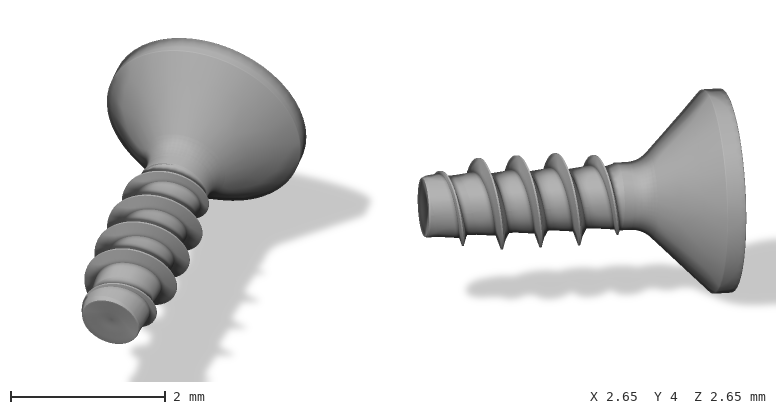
import cadquery as cq
import math

LENGTH = 4.0

HEAD_RADIUS = 2.65 / 2
RIM_HEIGHT = 0.25
RIM_FILLET = 0.02
NECK_RADIUS = 0.44
NECK_FILLET = 0.4
NECK_END = 1.43
CORE_RADIUS = 0.393
CORE_START = 1.61
HEAD_CONE_ANGLE = math.radians(45)

TIP_TAPER_START = 3.82
TIP_TAPER_RADIUS = 0.46
TIP_RADIUS = 0.384

DIMPLE_RADIUS = 0.37
DIMPLE_DEPTH = 0.05

PITCH = 0.51
THREAD_RADIUS = 0.605
CLEAR_RADIUS = 2 * THREAD_RADIUS
FIRST_CREST_DEPTH = 1.573
BURIED_RADIUS = 0.1
FLANK_ROOT_RADIUS = 0.34
RIDGE_ROOT_RADIUS = 0.38
POINTS_PER_QUARTER = 4
QUARTERS_PER_TURN = 4

CREST_HALF_WIDTH = 0.011
LEAD_FLANK_OFFSET = 0.072
RIDGE_RADIUS = 0.42
KINK_OFFSET = -0.052
KINK_RADIUS = 0.485
FOOT_OFFSET = -0.108

RIDGE_END_OFFSET = 0.32

THREAD_START = -3
FULL_HEIGHT_START = 3
FULL_HEIGHT_END = 13
THREAD_END = 20
RUN_IN_PER_QUARTER = 0.028
RUN_OUT_PER_QUARTER = 0.035


def make_body():
    """Revolve the head, filleted neck and core about the Y axis."""
    cone_corner_depth = RIM_HEIGHT + (HEAD_RADIUS - NECK_RADIUS) / math.tan(HEAD_CONE_ANGLE)
    fillet_end = cone_corner_depth + NECK_FILLET * math.tan(HEAD_CONE_ANGLE / 2)
    fillet_centre_radius = NECK_RADIUS + NECK_FILLET

    def fillet_point(angle):
        radius = fillet_centre_radius - NECK_FILLET * math.cos(angle)
        depth = fillet_end - NECK_FILLET * math.sin(angle)
        return radius, -depth

    body = (
        cq.Workplane("XY")
        .moveTo(0, 0)
        .lineTo(HEAD_RADIUS, 0)
        .lineTo(HEAD_RADIUS, -RIM_HEIGHT)
        .lineTo(*fillet_point(HEAD_CONE_ANGLE))
        .threePointArc(fillet_point(HEAD_CONE_ANGLE / 2), fillet_point(0))
        .lineTo(NECK_RADIUS, -NECK_END)
        .lineTo(CORE_RADIUS, -CORE_START)
        .lineTo(CORE_RADIUS, -LENGTH)
        .lineTo(0, -LENGTH)
        .close()
        .revolve(360, (0, 0, 0), (0, 1, 0))
    )
    rim_edges = body.edges("%CIRCLE").edges(cq.selectors.RadiusNthSelector(-1))
    return rim_edges.fillet(RIM_FILLET)


def fin_drop(quarters):
    """Radial distance by which the fin is sunk at the given angle."""
    run_in = RUN_IN_PER_QUARTER * (FULL_HEIGHT_START - quarters)
    run_out = RUN_OUT_PER_QUARTER * (quarters - FULL_HEIGHT_END)
    return max(run_in, run_out, 0)


def no_drop(quarters):
    """Constant height along the whole helix."""
    return 0


def helical_body(section, start, end, drop, first_depth):
    """Carry a section of (axial offset, radius) corners round the helix as a solid.

    start and end are in quarter turns; drop gives the inward shift of the raised corners.
    The section runs level at first_depth until the helix has passed that depth.
    """
    steps = (end - start) * POINTS_PER_QUARTER
    stations = [start + (end - start) * step / steps for step in range(steps + 1)]

    def corner_point(corner, quarters):
        offset, radius = corner
        angle = quarters * math.pi / 2
        if radius > BURIED_RADIUS:
            radius = radius - drop(quarters)
        depth = max(FIRST_CREST_DEPTH + PITCH * quarters / QUARTERS_PER_TURN, first_depth) + offset
        return cq.Vector(radius * math.cos(angle), -depth, radius * math.sin(angle))

    def cap(quarters):
        points = [corner_point(corner, quarters) for corner in section]
        return cq.Face.makeFromWires(cq.Wire.makePolygon(points, close=True))

    edges = [
        cq.Edge.makeSpline([corner_point(corner, quarters) for quarters in stations])
        for corner in section
    ]
    sides = [
        cq.Face.makeRuledSurface(edge, next_edge)
        for edge, next_edge in zip(edges, edges[1:] + edges[:1])
    ]
    shell = cq.Shell.makeShell(sides + [cap(start), cap(end)])
    solid = cq.Solid.makeSolid(shell)
    return cq.Workplane(solid.fix())


def helical_bodies(section, drop, first_depth):
    """Split the whole thread into one-turn pieces that follow each other along the helix."""
    pieces = []
    for start in range(THREAD_START, THREAD_END, QUARTERS_PER_TURN):
        end = min(start + QUARTERS_PER_TURN, THREAD_END)
        pieces.append(helical_body(section, start, end, drop, first_depth))
    return pieces


def extended(start, through, radius):
    """Point at the given radius on the straight line from start through another corner."""
    slope = (through[0] - start[0]) / (through[1] - start[1])
    return start[0] + slope * (radius - start[1]), radius


def make_fin():
    """Thread crest and flanks, rooted inside the core and sunk towards both ends."""
    kink = (KINK_OFFSET, KINK_RADIUS)
    foot = extended(kink, (FOOT_OFFSET, CORE_RADIUS), FLANK_ROOT_RADIUS)
    crest = (CREST_HALF_WIDTH, THREAD_RADIUS)
    lead_root = extended(crest, (LEAD_FLANK_OFFSET, RIDGE_RADIUS), FLANK_ROOT_RADIUS)
    section = [
        (foot[0], BURIED_RADIUS),
        foot,
        kink,
        (-CREST_HALF_WIDTH, THREAD_RADIUS),
        crest,
        lead_root,
        (lead_root[0], BURIED_RADIUS),
    ]
    return helical_bodies(section, fin_drop, NECK_END + CREST_HALF_WIDTH)


def make_ridge():
    """Tapered swelling of the core on the tip side of the fin, at constant height."""
    high = (LEAD_FLANK_OFFSET, RIDGE_RADIUS)
    low = (RIDGE_END_OFFSET, CORE_RADIUS)
    slope = (low[1] - high[1]) / (low[0] - high[0])
    behind_crest = (0, high[1] - slope * high[0])
    below_core = extended(high, low, RIDGE_ROOT_RADIUS)
    section = [
        (0, BURIED_RADIUS),
        behind_crest,
        below_core,
        (below_core[0], BURIED_RADIUS),
    ]
    return helical_bodies(section, no_drop, 0)


def make_shank_envelope():
    """Plain cylinder that limits the thread to the length between neck and tip."""
    return (
        cq.Workplane("XZ", origin=(0, -NECK_END, 0))
        .circle(CLEAR_RADIUS)
        .extrude(LENGTH - NECK_END)
    )


def make_tip_trim():
    """Ring that is cut away to taper the tip."""
    outline = [
        (TIP_TAPER_RADIUS, -TIP_TAPER_START),
        (TIP_RADIUS, -LENGTH),
        (CLEAR_RADIUS, -LENGTH),
        (CLEAR_RADIUS, -TIP_TAPER_START),
    ]
    return cq.Workplane("XY").polyline(outline).close().revolve(360, (0, 0, 0), (0, 1, 0))


def make_dimple():
    """Cone that is cut out of the tip face."""
    return (
        cq.Workplane("XY")
        .polyline([(0, -LENGTH), (DIMPLE_RADIUS, -LENGTH), (0, DIMPLE_DEPTH - LENGTH)])
        .close()
        .revolve(360, (0, 0, 0), (0, 1, 0))
    )


envelope = make_shank_envelope()
result = make_body()
for thread_piece in make_ridge() + make_fin():
    result = result.union(thread_piece.intersect(envelope))
result = result.cut(make_tip_trim())
result = result.cut(make_dimple())